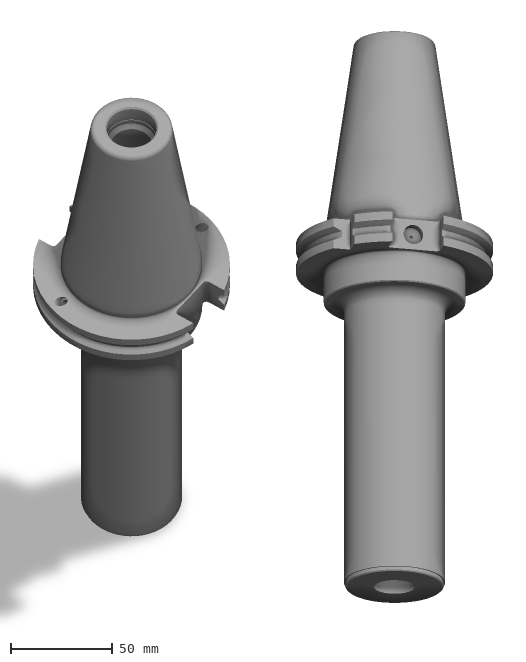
import cadquery as cq
import math

TOP_Z = 102.0
TOTAL_LENGTH = 284.5
BOTTOM_Z = TOP_Z - TOTAL_LENGTH
FLANGE_TOP_Z = -3.0
FLANGE_THICKNESS = 15.7
FLANGE_ROOT_FILLET = 0.5
FLANGE_BOTTOM_Z = FLANGE_TOP_Z - FLANGE_THICKNESS
FLANGE_MIDDLE_Z = (FLANGE_TOP_Z + FLANGE_BOTTOM_Z) / 2
COLLAR_BOTTOM_Z = -34.7
COLLAR_CHAMFER = 0.5

TAPER_RATIO = 7 / 24
GAUGE_DIAMETER = 69.7
TAPER_TOP_DIAMETER = GAUGE_DIAMETER - TAPER_RATIO * TOP_Z
TAPER_TOP_FILLET = 2.3
COLLAR_DIAMETER = 70.0
SHANK_DIAMETER = 50.0
SHANK_FILLET = 5.0

RING_DIAMETER = 48.7
RING_THICKNESS = 2.3
RING_CHAMFER = 0.5
SHANK_END_Z = BOTTOM_Z + RING_THICKNESS

FLANGE_DIAMETER = 97.3
GROOVE_DIAMETER = 90.8
GROOVE_OPENING = 7.0
GROOVE_FLOOR_WIDTH = 3.0

SLOT_WIDTH = 26.2
SLOT_CORNER_RADIUS = 2.0
LEFT_SLOT_FLOOR_X = -37.5
RIGHT_SLOT_FLOOR_X = 35.5
NOTCH_X = -29.5
NOTCH_Y = 30.2

BORE_DIAMETER = 20.2
PILOT_DIAMETER = 24.8
PILOT_DEPTH = 8.8
PILOT_CHAMFER = 0.9
COUNTERBORE_DIAMETER = 24.2
COUNTERBORE_DEPTH = 11.5

CHIP_POCKET_DIAMETER = 10.0
CHIP_POCKET_DEPTH = 4.5
CHIP_PILOT_DIAMETER = 1.7
CHIP_PILOT_DEPTH = 1.5

COOLANT_DIAMETER = 5.5
COOLANT_DEPTH = 3.5
COOLANT_FEED_DIAMETER = 3.0
COOLANT_FEED_DEPTH = 11.5
COOLANT_PITCH_RADIUS = 42.0
COOLANT_ANGLE = 70.0
COOLANT_TILT = 40.0


def turned_body():
    taper_top = TAPER_TOP_DIAMETER / 2
    gauge = GAUGE_DIAMETER / 2
    collar = COLLAR_DIAMETER / 2
    shank = SHANK_DIAMETER / 2
    flange = FLANGE_DIAMETER / 2
    groove = GROOVE_DIAMETER / 2
    outline = (
        cq.Workplane("XZ")
        .moveTo(0, TOP_Z)
        .lineTo(taper_top, TOP_Z)
        .lineTo(gauge, 0)
        .lineTo(gauge, FLANGE_TOP_Z + FLANGE_ROOT_FILLET)
        .radiusArc((gauge + FLANGE_ROOT_FILLET, FLANGE_TOP_Z), -FLANGE_ROOT_FILLET)
        .lineTo(flange, FLANGE_TOP_Z)
        .lineTo(flange, FLANGE_MIDDLE_Z + GROOVE_OPENING / 2)
        .lineTo(groove, FLANGE_MIDDLE_Z + GROOVE_FLOOR_WIDTH / 2)
        .lineTo(groove, FLANGE_MIDDLE_Z - GROOVE_FLOOR_WIDTH / 2)
        .lineTo(flange, FLANGE_MIDDLE_Z - GROOVE_OPENING / 2)
        .lineTo(flange, FLANGE_BOTTOM_Z)
        .lineTo(collar + FLANGE_ROOT_FILLET, FLANGE_BOTTOM_Z)
        .radiusArc((collar, FLANGE_BOTTOM_Z - FLANGE_ROOT_FILLET), -FLANGE_ROOT_FILLET)
        .lineTo(collar, COLLAR_BOTTOM_Z + COLLAR_CHAMFER)
        .lineTo(collar - COLLAR_CHAMFER, COLLAR_BOTTOM_Z)
        .lineTo(shank + SHANK_FILLET, COLLAR_BOTTOM_Z)
        .radiusArc((shank, COLLAR_BOTTOM_Z - SHANK_FILLET), -SHANK_FILLET)
        .lineTo(shank, SHANK_END_Z)
        .lineTo(0, SHANK_END_Z)
        .close()
    )
    body = outline.revolve(360, (0, 0, 0), (0, 1, 0))
    return body.faces(">Z").edges().fillet(TAPER_TOP_FILLET)


def bore_cutter():
    bore = BORE_DIAMETER / 2
    counterbore = COUNTERBORE_DIAMETER / 2
    pilot = PILOT_DIAMETER / 2
    pilot_end = TOP_Z - PILOT_DEPTH
    counterbore_end = TOP_Z - COUNTERBORE_DEPTH
    return (
        cq.Workplane("XZ")
        .moveTo(0, TOP_Z)
        .lineTo(pilot + PILOT_CHAMFER, TOP_Z)
        .lineTo(pilot, TOP_Z - PILOT_CHAMFER)
        .lineTo(pilot, pilot_end)
        .lineTo(counterbore, pilot_end)
        .lineTo(counterbore, counterbore_end)
        .lineTo(bore, counterbore_end - (counterbore - bore))
        .lineTo(bore, SHANK_END_Z)
        .lineTo(0, SHANK_END_Z)
        .close()
        .revolve(360, (0, 0, 0), (0, 1, 0))
    )


def slot_cutter(floor_x):
    side = math.copysign(1, floor_x)
    length = FLANGE_DIAMETER / 2
    slot = cq.Workplane("XY").box(length, SLOT_WIDTH, FLANGE_THICKNESS)
    slot = slot.edges("|Z").fillet(SLOT_CORNER_RADIUS)
    return slot.translate((floor_x + side * length / 2, 0, FLANGE_MIDDLE_Z))


def notch_cutter():
    size = FLANGE_DIAMETER / 2
    notch = cq.Workplane("XY").box(size, size, FLANGE_THICKNESS)
    return notch.translate((NOTCH_X - size / 2, NOTCH_Y + size / 2, FLANGE_MIDDLE_Z))


def chip_pocket_cutter():
    pocket = (
        cq.Workplane("YZ", origin=(LEFT_SLOT_FLOOR_X, 0, FLANGE_MIDDLE_Z))
        .circle(CHIP_POCKET_DIAMETER / 2)
        .extrude(CHIP_POCKET_DEPTH)
    )
    pilot = pocket.faces(">X").workplane().circle(CHIP_PILOT_DIAMETER / 2)
    return pilot.extrude(CHIP_PILOT_DEPTH)


def coolant_hole_cutter(angle):
    tilt = math.radians(COOLANT_TILT)
    mouth = cq.Vector(COOLANT_PITCH_RADIUS, 0, FLANGE_TOP_Z)
    inward = cq.Vector(-math.sin(tilt), 0, -math.cos(tilt))
    wide = cq.Solid.makeCylinder(
        COOLANT_DIAMETER / 2,
        2 * COOLANT_DEPTH,
        mouth - inward * COOLANT_DEPTH,
        inward,
    )
    narrow = cq.Solid.makeCylinder(
        COOLANT_FEED_DIAMETER / 2, COOLANT_FEED_DEPTH, mouth, inward
    )
    hole = cq.Workplane(wide).union(cq.Workplane(narrow))
    return hole.rotate((0, 0, 0), (0, 0, 1), angle)


def end_ring():
    return (
        cq.Workplane("XY", origin=(0, 0, BOTTOM_Z))
        .circle(RING_DIAMETER / 2)
        .extrude(RING_THICKNESS)
        .faces("<Z")
        .chamfer(RING_CHAMFER)
        .faces(">Z")
        .workplane()
        .hole(BORE_DIAMETER)
    )


holder = turned_body().cut(bore_cutter()).cut(notch_cutter()).cut(chip_pocket_cutter())
for slot_floor_x in (LEFT_SLOT_FLOOR_X, RIGHT_SLOT_FLOOR_X):
    holder = holder.cut(slot_cutter(slot_floor_x))
for hole_angle in (COOLANT_ANGLE, COOLANT_ANGLE + 180):
    holder = holder.cut(coolant_hole_cutter(hole_angle))

ring = end_ring()

result = cq.Compound.makeCompound([holder.val(), ring.val()])